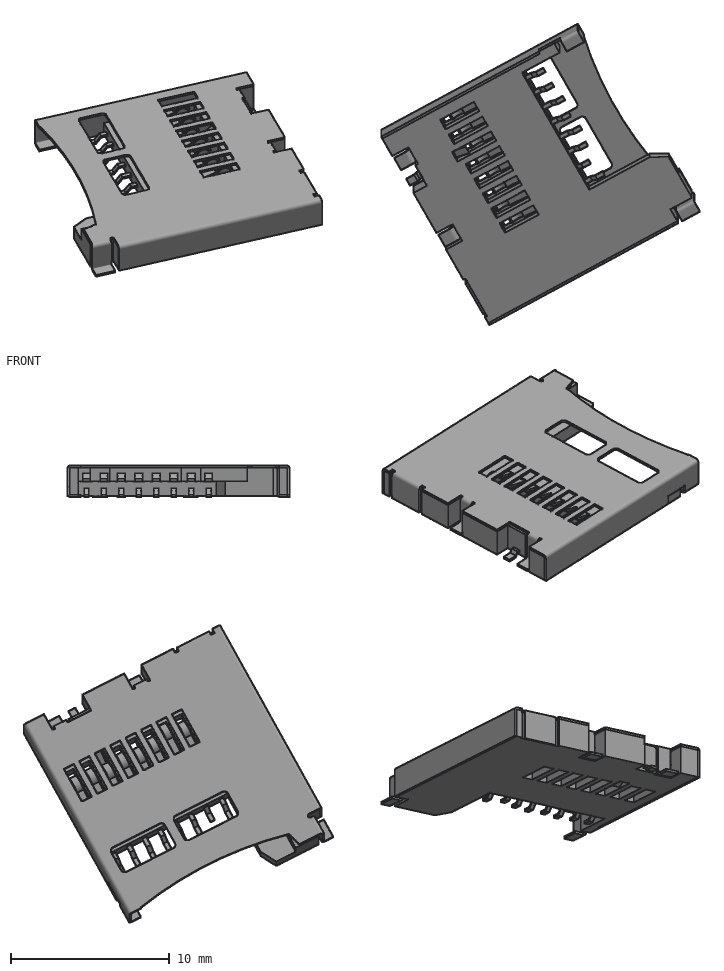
import cadquery as cq
import math

WIDTH = 14.05
LENGTH = 15.2
HEIGHT = 2.0
SHEET = 0.15
BEND = 0.23
STANDOFF = 0.06

RIGHT = WIDTH / 2
LEFT = -RIGHT
REAR = LENGTH / 2
FRONT = -REAR
INNER_TOP = HEIGHT - SHEET

LEFT_WALL_FRONT = -6.58
RIGHT_WALL_FRONT = -6.05
PLATE_FRONT = FRONT + 0.06
SCOOP_START = (-6.15, LEFT_WALL_FRONT + 0.05)
SCOOP_MID = (-1.37, -6.0)
SCOOP_END = (4.36, -6.63)
PLATE_TONGUE_LEFT = 4.62
PLATE_TONGUE_RIGHT = 6.14
RELIEF_WIDTH = 0.26
RELIEF_LEFT = 5.99

NOTCH_Y = 6.43
TAB_WIDTH = 0.9
TAB_CENTERS = (-4.95, 0.78)
TAB_CLEARANCE = 0.17
TAB_END = REAR - 0.05
TAB_FOOT_BEND = 0.15
LEAD_NOTCH_RIGHT = -2.83

FLANGE_LEFT = 3.89
FLANGE_RIGHT = 6.2
FLANGE_RELIEF = 0.25
FLANGE_RELIEF_DEPTH = 0.3

OPENING_FRONT = -5.34
OPENING_REAR = -3.77
OPENING_TOP = 0.65
LEFT_FOOT_WIDTH = 0.85
RIGHT_FOOT_BEND = 0.05

CONTACT_COUNT = 8
CONTACT_ROW_LEFT = -5.8
CONTACT_ROW_LENGTH = 7.7
CONTACT_PITCH = CONTACT_ROW_LENGTH / (CONTACT_COUNT - 1)
CONTACT_XS = [CONTACT_ROW_LEFT + i * CONTACT_PITCH for i in range(CONTACT_COUNT)]
CONTACT_SHIFTS = (0, 0, -0.18, 0, -0.18, 0, 0.41, 0)
SPRING_WIDTH = 0.49
TAIL_WIDTH = 0.3
SLOT_WIDTH = 0.7
SLOT_FRONT = 1.38
SLOT_REAR = 3.82
LEAD_LEVEL = 0.56

WINDOW_WIDTH = 3.83
WINDOW_LEFTS = (-6.1, -1.61)
WINDOW_FRONT = -4.03
WINDOW_REAR = -2.2
WINDOW_RADIUS = 0.25

FLOOR_TOP = 0.99
FLOOR_FRONT = -2.19
CARD_LEFT = -6.32
CARD_RIGHT = 4.33
RAIL_FRONT = -4.9
ARM_LEFT = 2.39
ARM_CHAMFER_START = -6.57
ARM_CHAMFER_END = 2.95
ARM_RIGHT = RELIEF_LEFT
REAR_WALL = 0.2


def block(x0, x1, y0, y1, z0, z1):
    """Box given by its limits along each axis."""
    return cq.Workplane("XY").box(x1 - x0, y1 - y0, z1 - z0, centered=False).translate((x0, y0, z0))


def envelope(inset):
    """Long block with two rounded top edges, inset from the outside of the cover."""
    solid = block(LEFT + inset, RIGHT - inset, FRONT, REAR, STANDOFF, HEIGHT - inset)
    return solid.edges("|Y and >Z").fillet(BEND - inset)


def extruded_yz(section, x_center, width):
    """Section drawn on the YZ plane, extruded symmetrically about x_center."""
    return section.extrude(width / 2, both=True).translate((x_center, 0, 0))


def plate_outline_cutters():
    """Material ahead of the scooped front edge, plus the relief slot at the right."""
    scoop = (
        cq.Workplane("XY")
        .moveTo(LEFT, LEFT_WALL_FRONT)
        .lineTo(SCOOP_START[0], LEFT_WALL_FRONT)
        .lineTo(*SCOOP_START)
        .threePointArc(SCOOP_MID, SCOOP_END)
        .lineTo(PLATE_TONGUE_LEFT, PLATE_FRONT)
        .lineTo(RIGHT, PLATE_FRONT)
        .lineTo(RIGHT, FRONT)
        .lineTo(LEFT, FRONT)
        .close()
        .extrude(HEIGHT)
    )
    side = block(PLATE_TONGUE_RIGHT, RIGHT, FRONT, RIGHT_WALL_FRONT, 0, HEIGHT)
    relief_radius = RELIEF_WIDTH / 2
    relief_front = RIGHT_WALL_FRONT - RELIEF_WIDTH
    relief = block(RELIEF_LEFT + relief_radius, RIGHT, relief_front, RIGHT_WALL_FRONT, 0, HEIGHT)
    relief_end = (
        cq.Workplane("XY")
        .center(RELIEF_LEFT + relief_radius, RIGHT_WALL_FRONT - relief_radius)
        .circle(relief_radius)
        .extrude(HEIGHT)
    )
    return scoop.union(side).union(relief).union(relief_end)


def z_strip(plane, bend_start, end, foot_bend):
    """Section of a strip bent down from the plate edge and out again into a foot."""
    outer = bend_start + BEND
    inner = outer - SHEET
    inner_bend = BEND - SHEET
    under_bend = foot_bend + SHEET
    return (
        cq.Workplane(plane)
        .moveTo(bend_start, HEIGHT)
        .radiusArc((outer, HEIGHT - BEND), BEND)
        .lineTo(outer, SHEET + foot_bend)
        .radiusArc((outer + foot_bend, SHEET), -foot_bend)
        .lineTo(end, SHEET)
        .lineTo(end, 0)
        .lineTo(inner + under_bend, 0)
        .radiusArc((inner, under_bend), under_bend)
        .lineTo(inner, HEIGHT - BEND)
        .radiusArc((bend_start, INNER_TOP), -inner_bend)
        .close()
    )


def rear_tab(x_center):
    return extruded_yz(z_strip("YZ", NOTCH_Y, TAB_END, TAB_FOOT_BEND), x_center, TAB_WIDTH)


def right_foot():
    """Strip along the front right edge with an outward foot."""
    rear = RIGHT_WALL_FRONT - RELIEF_WIDTH
    section = z_strip("XZ", PLATE_TONGUE_RIGHT, RIGHT, RIGHT_FOOT_BEND)
    return section.extrude(rear - FRONT).translate((0, rear, 0))


def left_foot():
    """Foot turned inward under the front end of the left wall."""
    outside = block(LEFT, LEFT + LEFT_FOOT_WIDTH, LEFT_WALL_FRONT, OPENING_FRONT, 0, 2 * BEND)
    outside = outside.edges("|Y and <X and <Z").fillet(BEND)
    inside = block(LEFT + SHEET, LEFT + 2 * LEFT_FOOT_WIDTH, LEFT_WALL_FRONT, OPENING_FRONT, SHEET, 3 * BEND)
    inside = inside.edges("|Y and <X and <Z").fillet(BEND - SHEET)
    return outside.cut(inside)


def rear_flange():
    """Short flange bent straight down over the rear of the housing."""
    outside = block(FLANGE_LEFT, FLANGE_RIGHT, REAR - FLANGE_RELIEF_DEPTH, REAR, STANDOFF, HEIGHT)
    outside = outside.edges("|X and >Y and >Z").fillet(BEND)
    inside = block(FLANGE_LEFT, FLANGE_RIGHT, REAR - 2 * FLANGE_RELIEF_DEPTH, REAR - SHEET, 0, INNER_TOP)
    inside = inside.edges("|X and >Y and >Z").fillet(BEND - SHEET)
    return outside.cut(inside)


def notch_limits(tab_center):
    half = TAB_WIDTH / 2 + TAB_CLEARANCE
    return tab_center - half, tab_center + half


def rear_notches():
    """Clearance around the two rear tabs and the rear lead, through the full height."""
    first_left, _ = notch_limits(TAB_CENTERS[0])
    second_left, second_right = notch_limits(TAB_CENTERS[1])
    first = block(first_left, LEAD_NOTCH_RIGHT, NOTCH_Y, REAR, 0, HEIGHT)
    return first.union(block(second_left, second_right, NOTCH_Y, REAR, 0, HEIGHT))


def contact_slots():
    slots = cq.Workplane("XY")
    for x in CONTACT_XS:
        slots = slots.union(block(x - SLOT_WIDTH / 2, x + SLOT_WIDTH / 2, SLOT_FRONT, SLOT_REAR, 0, HEIGHT))
    return slots


def cover_windows():
    windows = cq.Workplane("XY")
    for left in WINDOW_LEFTS:
        window = block(left, left + WINDOW_WIDTH, WINDOW_FRONT, WINDOW_REAR, INNER_TOP, HEIGHT)
        windows = windows.union(window.edges("|Z").fillet(WINDOW_RADIUS))
    return windows


def make_cover():
    body = envelope(0).cut(envelope(SHEET))
    body = body.cut(plate_outline_cutters()).cut(rear_notches())
    body = body.cut(contact_slots()).cut(cover_windows())
    flange_gap_left = FLANGE_LEFT - FLANGE_RELIEF
    flange_gap_right = FLANGE_RIGHT + FLANGE_RELIEF
    body = body.cut(block(flange_gap_left, flange_gap_right, REAR - FLANGE_RELIEF_DEPTH, REAR, 0, HEIGHT))
    body = body.cut(block(LEFT, LEFT + SHEET, OPENING_FRONT, OPENING_REAR, 0, OPENING_TOP))
    body = body.cut(block(LEFT, LEFT + SHEET, LEFT_WALL_FRONT, OPENING_FRONT, 0, 2 * BEND))
    body = body.union(rear_flange()).union(left_foot()).union(right_foot())
    for x in TAB_CENTERS:
        body = body.union(rear_tab(x))
    return body


TAIL_SLOPE_REAR = -2.61
TAIL_SLOPE_FRONT = -2.98
TAIL_END = -3.51
TAIL_ROOT = FLOOR_FRONT + 0.91
RAMP_START = -0.26
DOME_Y = 2.78
DOME_HALF_CHORD = 0.53
DOME_BASE = 1.17
DOME_TOP = 1.5


def contact_tail(x, shift):
    """Solder tail stepping down in front of the housing."""
    section = (
        cq.Workplane("YZ")
        .moveTo(TAIL_END + shift, 0)
        .lineTo(TAIL_END + shift, SHEET)
        .lineTo(TAIL_SLOPE_FRONT + shift, SHEET)
        .lineTo(TAIL_SLOPE_REAR + shift, LEAD_LEVEL)
        .lineTo(TAIL_ROOT, LEAD_LEVEL)
        .lineTo(TAIL_ROOT, LEAD_LEVEL - SHEET)
        .lineTo(TAIL_SLOPE_REAR + shift, LEAD_LEVEL - SHEET)
        .lineTo(TAIL_SLOPE_FRONT + shift, 0)
        .close()
    )
    return extruded_yz(section, x, TAIL_WIDTH)


def contact_spring(x, shift):
    """Ramp rising out of the floor and ending in a domed contact point."""
    sagitta = DOME_TOP - DOME_BASE
    outer_radius = (DOME_HALF_CHORD**2 + sagitta**2) / (2 * sagitta)
    inner_radius = outer_radius - SHEET
    dome_z = DOME_TOP - outer_radius
    half_angle = math.asin(DOME_HALF_CHORD / outer_radius)
    dome_y = DOME_Y + shift
    inner_half = inner_radius * math.sin(half_angle)
    inner_base = dome_z + inner_radius * math.cos(half_angle)
    ramp_slope = (DOME_BASE - LEAD_LEVEL) / (DOME_Y - DOME_HALF_CHORD - RAMP_START)
    ramp_end = dome_y - inner_half
    ramp_end_bottom = inner_base - SHEET / 2
    section = (
        cq.Workplane("YZ")
        .moveTo(RAMP_START + shift, LEAD_LEVEL)
        .lineTo(dome_y - DOME_HALF_CHORD, DOME_BASE)
        .threePointArc((dome_y, DOME_TOP), (dome_y + DOME_HALF_CHORD, DOME_BASE))
        .lineTo(dome_y + inner_half, inner_base)
        .threePointArc((dome_y, dome_z + inner_radius), (ramp_end, inner_base))
        .lineTo(ramp_end, ramp_end_bottom)
        .lineTo(RAMP_START + shift, ramp_end_bottom - ramp_slope * (ramp_end - RAMP_START - shift))
        .close()
    )
    return extruded_yz(section, x, SPRING_WIDTH)


SWITCH_X = CONTACT_XS[2]
SWITCH_FRONT_TIP = (3.25, 0.21)
SWITCH_REAR_TIP = (4.62, 1.28)
SWITCH_POCKET_REAR = 4.18
REAR_LEAD_LEVEL = 0.4
REAR_LEAD_SLOPE_FRONT = 6.82
REAR_LEAD_SLOPE_REAR = 6.98


def switch_leaf():
    """Sloping leaf through the floor, dipping into the third slot."""
    section = (
        cq.Workplane("YZ")
        .polyline([
            SWITCH_FRONT_TIP,
            SWITCH_REAR_TIP,
            (SWITCH_REAR_TIP[0], SWITCH_REAR_TIP[1] - SHEET),
            (SWITCH_FRONT_TIP[0], SWITCH_FRONT_TIP[1] - SHEET),
        ])
        .close()
    )
    return extruded_yz(section, SWITCH_X, SPRING_WIDTH)


def rear_lead():
    """Switch solder lead stepping down behind the rear wall."""
    section = (
        cq.Workplane("YZ")
        .polyline([
            (NOTCH_Y, REAR_LEAD_LEVEL),
            (REAR_LEAD_SLOPE_FRONT, REAR_LEAD_LEVEL),
            (REAR_LEAD_SLOPE_REAR, SHEET),
            (TAB_END, SHEET),
            (TAB_END, 0),
            (REAR_LEAD_SLOPE_REAR, 0),
            (REAR_LEAD_SLOPE_FRONT, REAR_LEAD_LEVEL - SHEET),
            (NOTCH_Y, REAR_LEAD_LEVEL - SHEET),
        ])
        .close()
    )
    return extruded_yz(section, SWITCH_X, SPRING_WIDTH)


def housing_plan():
    """Plan outline: rail on the left, floor in the middle, arm on the right."""
    side = RIGHT - SHEET
    return (
        cq.Workplane("XY")
        .polyline([
            (LEFT + SHEET, REAR),
            (LEFT + SHEET, RAIL_FRONT),
            (CARD_LEFT, RAIL_FRONT),
            (CARD_LEFT, FLOOR_FRONT),
            (ARM_LEFT, FLOOR_FRONT),
            (ARM_LEFT, ARM_CHAMFER_START),
            (ARM_CHAMFER_END, FRONT),
            (ARM_RIGHT, FRONT),
            (ARM_RIGHT, RIGHT_WALL_FRONT),
            (side, RIGHT_WALL_FRONT),
            (side, REAR),
        ])
        .close()
        .extrude(HEIGHT)
    )


def make_housing():
    body = housing_plan().intersect(envelope(SHEET))
    body = body.cut(block(CARD_LEFT, CARD_RIGHT, FRONT, NOTCH_Y, FLOOR_TOP, HEIGHT))
    body = body.cut(rear_notches()).cut(contact_slots())

    for x in TAB_CENTERS:
        left, right = notch_limits(x)
        body = body.union(block(left, right, NOTCH_Y - REAR_WALL, NOTCH_Y, STANDOFF, INNER_TOP))
    wall_left = notch_limits(TAB_CENTERS[0])[1]
    body = body.union(block(wall_left, LEAD_NOTCH_RIGHT, NOTCH_Y, NOTCH_Y + REAR_WALL, STANDOFF, INNER_TOP))

    seat_left = FLANGE_LEFT - FLANGE_RELIEF
    seat_right = FLANGE_RIGHT + FLANGE_RELIEF
    body = body.cut(block(seat_left, seat_right, NOTCH_Y, REAR, 0, HEIGHT))
    seat = block(seat_left, seat_right, NOTCH_Y, REAR - SHEET, STANDOFF, INNER_TOP)
    body = body.union(seat.edges("|X and >Y and >Z").fillet(BEND - SHEET))

    body = body.union(block(LEFT, LEFT + SHEET, RAIL_FRONT, OPENING_REAR, STANDOFF, OPENING_TOP))

    for x, shift in zip(CONTACT_XS, CONTACT_SHIFTS):
        body = body.union(contact_tail(x, shift)).union(contact_spring(x, shift))

    pocket_half = SLOT_WIDTH / 2
    body = body.cut(
        block(SWITCH_X - pocket_half, SWITCH_X + pocket_half, SLOT_REAR, SWITCH_POCKET_REAR, 0, FLOOR_TOP)
    )
    return body.union(switch_leaf()).union(rear_lead())


cover = make_cover()
housing = make_housing()
result = cq.Compound.makeCompound([*cover.solids().vals(), *housing.solids().vals()])